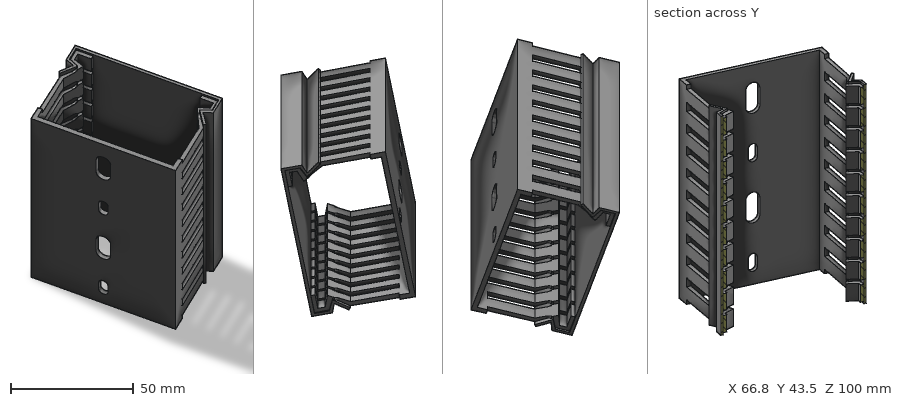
import cadquery as cq
import math

LENGTH = 100.0
COVER_WIDTH = 66.8
HEIGHT = 43.5
COVER_HALF = COVER_WIDTH / 2

COVER_PANEL = 1.4
COVER_WALL = 1.1
COVER_INNER_HALF = COVER_HALF - COVER_WALL
COVER_INNER_Y = HEIGHT - COVER_PANEL
CATCH_START_Y = 34.8
CATCH_START_INNER_Y = 35.9
CATCH_VALLEY = (29.5, 33.3)
CATCH_PEAK = (27.7, 33.7)
COVER_TIP_Y = 27.9
COVER_TIP_INNER = (32.5, 27.2)

BASE_THICKNESS = 2.1
BASE_HALF = 32.8
CHANNEL_INNER_HALF = 30.7
LIP_THICKNESS = 1.7
LIP_END_HALF = 24.6
LIP_INNER_Y = COVER_INNER_Y - LIP_THICKNESS
KINK_START_Y = 37.3
KINK_PEAK = (25.8, 35.4)
KINK_END_Y = 26.7

SLOT_PITCH = 10.0
SLOT_WIDTH = 4.0
THROAT_WIDTH = 2.0
SLOT_BOTTOM_Y = 6.5
SLOT_ROUND_Y = 31.2
SLOT_COUNT = round(LENGTH / SLOT_PITCH) + 1

HOLE_PITCH = 25.0
FIRST_SMALL_HOLE_Z = 10.0
HOLE_PAIR_PITCH = 2 * HOLE_PITCH
HOLE_PAIRS = 2
SMALL_HOLE = (8.2, 4.2)
LARGE_HOLE = (14.0, 6.5)


def symmetric_extrusion(right_half):
    """Extrude the outline made of right-half points and their mirror image over the full length."""
    left_half = [(-x, y) for x, y in reversed(right_half)]
    return cq.Workplane("XY").polyline(right_half + left_half).close().extrude(LENGTH)


def make_cover():
    return symmetric_extrusion([
        (COVER_HALF, HEIGHT),
        (COVER_HALF, CATCH_START_Y),
        CATCH_VALLEY,
        (COVER_HALF, COVER_TIP_Y),
        COVER_TIP_INNER,
        CATCH_PEAK,
        (COVER_INNER_HALF, CATCH_START_INNER_Y),
        (COVER_INNER_HALF, COVER_INNER_Y),
    ])


def channel_profile():
    return symmetric_extrusion([
        (BASE_HALF, 0),
        COVER_TIP_INNER,
        CATCH_PEAK,
        (COVER_INNER_HALF, CATCH_START_INNER_Y),
        (COVER_INNER_HALF, COVER_INNER_Y),
        (LIP_END_HALF, COVER_INNER_Y),
        (LIP_END_HALF, LIP_INNER_Y),
        (CHANNEL_INNER_HALF, LIP_INNER_Y),
        (CHANNEL_INNER_HALF, KINK_START_Y),
        KINK_PEAK,
        (CHANNEL_INNER_HALF, KINK_END_Y),
        (CHANNEL_INNER_HALF, BASE_THICKNESS),
    ])


def wiring_slot(z):
    """Slot through both walls: square bottom, rounded end, narrow throat open at the lips."""
    radius = SLOT_WIDTH / 2
    half_throat = THROAT_WIDTH / 2
    throat_y = SLOT_ROUND_Y + math.sqrt(radius**2 - half_throat**2)
    arc_angle = math.asin(half_throat / radius)
    middle_angle = (math.pi / 2 + arc_angle) / 2
    middle_y = SLOT_ROUND_Y + radius * math.cos(middle_angle)
    middle_z = radius * math.sin(middle_angle)
    return (
        cq.Workplane("YZ", origin=(0, 0, z))
        .moveTo(SLOT_BOTTOM_Y, -radius)
        .lineTo(SLOT_ROUND_Y, -radius)
        .threePointArc((middle_y, -middle_z), (throat_y, -half_throat))
        .lineTo(HEIGHT, -half_throat)
        .lineTo(HEIGHT, half_throat)
        .lineTo(throat_y, half_throat)
        .threePointArc((middle_y, middle_z), (SLOT_ROUND_Y, radius))
        .lineTo(SLOT_BOTTOM_Y, radius)
        .close()
        .extrude(COVER_HALF, both=True)
    )


def mounting_holes(size, first_z):
    """Obround holes through the base, lengthwise along Z."""
    length, width = size
    centres = [(0, first_z + i * HOLE_PAIR_PITCH) for i in range(HOLE_PAIRS)]
    return (
        cq.Workplane("XZ")
        .pushPoints(centres)
        .slot2D(length, width, 90)
        .extrude(-BASE_THICKNESS)
    )


def make_channel():
    channel = channel_profile()
    for i in range(SLOT_COUNT):
        channel = channel.cut(wiring_slot(i * SLOT_PITCH))
    channel = channel.cut(mounting_holes(SMALL_HOLE, FIRST_SMALL_HOLE_Z))
    return channel.cut(mounting_holes(LARGE_HOLE, FIRST_SMALL_HOLE_Z + HOLE_PITCH))


cover = make_cover()
channel = make_channel()

result = cq.Compound.makeCompound([cover.val(), channel.val()])